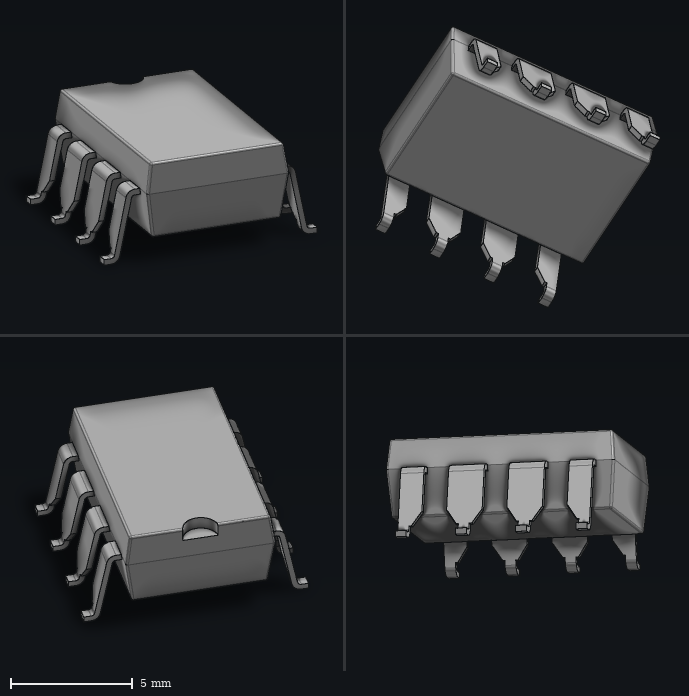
import math

import cadquery as cq


BODY_LENGTH = 9.65
BODY_WIDTH = 6.35
BODY_TOP = 4.45
BODY_BOTTOM = 1.15
PARTING_HEIGHT = 3.145
END_DRAFT = 5.0
SIDE_DRAFT = 8.3
BODY_EDGE_RADIUS = 0.1

NOTCH_RADIUS = 0.75
NOTCH_DEPTH = 0.53

LEAD_THICKNESS = 0.254
TIP_TO_TIP = 9.53
LEAD_LEAN = 11.7
BEND_START = 3.4
BEND_INNER_RADIUS = 0.15
BEND_OUTER_RADIUS = BEND_INNER_RADIUS + LEAD_THICKNESS
LEAD_ROOT = 2.5

LEADS_PER_ROW = 4
LEAD_PITCH = 2.54
LEAD_WIDTH = 1.5
FOOT_WIDTH = 0.47
SHOULDER_WIDTH = 0.68
SHOULDER_HEIGHT = 0.53
TAPER_START_HEIGHT = 1.135


def body_half(far_height):
    """Drafted half of the body between the parting plane and far_height."""
    rise = abs(far_height - PARTING_HEIGHT)
    far_length = BODY_LENGTH - 2 * rise * math.tan(math.radians(END_DRAFT))
    far_width = BODY_WIDTH - 2 * rise * math.tan(math.radians(SIDE_DRAFT))
    return (
        cq.Workplane("XY", origin=(0, 0, PARTING_HEIGHT))
        .rect(BODY_LENGTH, BODY_WIDTH)
        .workplane(offset=far_height - PARTING_HEIGHT)
        .rect(far_length, far_width)
        .loft(ruled=True)
    )


def make_body():
    """Both body halves, rounded on every edge except the parting line."""
    body = body_half(BODY_TOP).union(body_half(BODY_BOTTOM))
    outer_edges = body.edges("not(#Z)").add(body.edges("<Z or >Z"))
    return outer_edges.fillet(BODY_EDGE_RADIUS)


def make_notch():
    """Cylinder that cuts the pin 1 notch into the top of the -X end."""
    return (
        cq.Workplane("XY", origin=(-BODY_LENGTH / 2, 0, BODY_TOP))
        .circle(NOTCH_RADIUS)
        .extrude(-NOTCH_DEPTH)
    )


def polar_point(center, radius, angle):
    """Point at the given angle in degrees, measured from +Y towards +Z."""
    turn = math.radians(angle)
    return (center[0] + radius * math.cos(turn), center[1] + radius * math.sin(turn))


def lead_profile():
    """Gull-wing section of a +Y lead in the YZ plane, extruded to both sides of X = 0."""
    lean = math.radians(LEAD_LEAN)
    upper_center = (BEND_START, PARTING_HEIGHT - BEND_OUTER_RADIUS)
    radii = BEND_OUTER_RADIUS + BEND_INNER_RADIUS
    drop = upper_center[1] - BEND_OUTER_RADIUS
    leg_length = (drop + radii * math.sin(lean)) / math.cos(lean)
    foot_center = (
        BEND_START + radii * math.cos(lean) + leg_length * math.sin(lean),
        BEND_OUTER_RADIUS,
    )
    tip = TIP_TO_TIP / 2
    upper_middle = (90 + LEAD_LEAN) / 2
    foot_start = 180 + LEAD_LEAN
    foot_middle = 180 + upper_middle

    return (
        cq.Workplane("YZ")
        .moveTo(LEAD_ROOT, PARTING_HEIGHT)
        .lineTo(BEND_START, PARTING_HEIGHT)
        .threePointArc(
            polar_point(upper_center, BEND_OUTER_RADIUS, upper_middle),
            polar_point(upper_center, BEND_OUTER_RADIUS, LEAD_LEAN),
        )
        .lineTo(*polar_point(foot_center, BEND_INNER_RADIUS, foot_start))
        .threePointArc(
            polar_point(foot_center, BEND_INNER_RADIUS, foot_middle),
            (foot_center[0], LEAD_THICKNESS),
        )
        .lineTo(tip, LEAD_THICKNESS)
        .lineTo(tip, 0)
        .lineTo(foot_center[0], 0)
        .threePointArc(
            polar_point(foot_center, BEND_OUTER_RADIUS, foot_middle),
            polar_point(foot_center, BEND_OUTER_RADIUS, foot_start),
        )
        .lineTo(*polar_point(upper_center, BEND_INNER_RADIUS, LEAD_LEAN))
        .threePointArc(
            polar_point(upper_center, BEND_INNER_RADIUS, upper_middle),
            (BEND_START, PARTING_HEIGHT - LEAD_THICKNESS),
        )
        .lineTo(LEAD_ROOT, PARTING_HEIGHT - LEAD_THICKNESS)
        .close()
        .extrude(LEAD_WIDTH / 2, both=True)
    )


def outline_block(points):
    """Block with the given XZ outline that spans the +Y half of the package."""
    return cq.Workplane("XZ").polyline(points).close().extrude(-TIP_TO_TIP / 2)


def tapered_half(side):
    """Stepped and tapered half of the lead outline, on the -X (-1) or +X (+1) side."""
    return outline_block([
        (0, 0),
        (side * FOOT_WIDTH / 2, 0),
        (side * FOOT_WIDTH / 2, SHOULDER_HEIGHT),
        (side * SHOULDER_WIDTH / 2, SHOULDER_HEIGHT),
        (side * LEAD_WIDTH / 2, TAPER_START_HEIGHT),
        (side * LEAD_WIDTH / 2, PARTING_HEIGHT),
        (0, PARTING_HEIGHT),
    ])


def straight_half(side):
    """Straight half of an end lead, as narrow as the foot over its full height."""
    return outline_block([
        (0, 0),
        (side * FOOT_WIDTH / 2, 0),
        (side * FOOT_WIDTH / 2, PARTING_HEIGHT),
        (0, PARTING_HEIGHT),
    ])


def make_lead_row():
    """List of the four leads on the +Y side; the end leads are cut flush with their feet."""
    strip = lead_profile()
    first_x = -LEAD_PITCH * (LEADS_PER_ROW - 1) / 2
    row = []
    for index in range(LEADS_PER_ROW):
        is_first = index == 0
        is_last = index == LEADS_PER_ROW - 1
        left = straight_half(-1) if is_first else tapered_half(-1)
        right = straight_half(1) if is_last else tapered_half(1)
        lead = strip.intersect(left.union(right))
        row.append(lead.translate((first_x + index * LEAD_PITCH, 0, 0)))
    return row


result = make_body().cut(make_notch())
for lead in make_lead_row():
    result = result.union(lead)
    result = result.union(lead.mirror("XZ"))